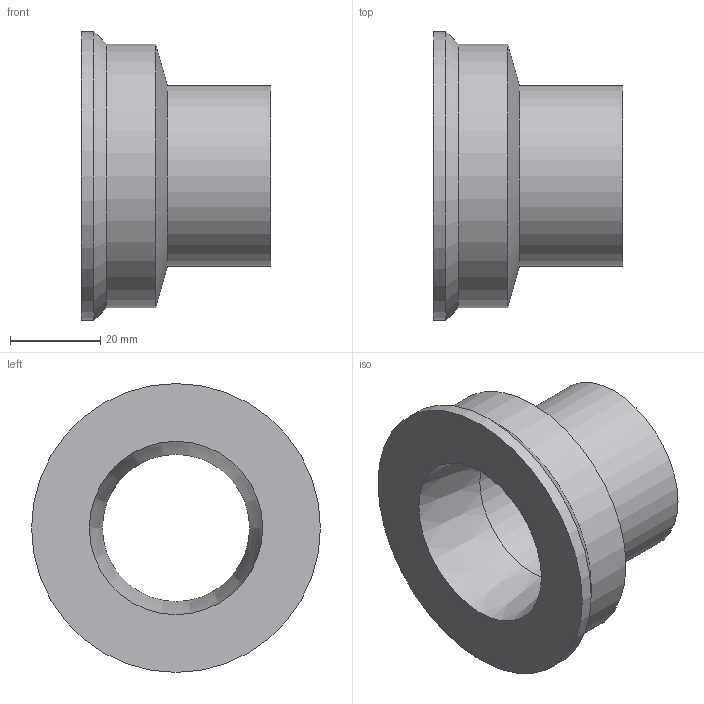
import cadquery as cq

total_length = 42.0

flange_diameter = 64.0
flange_rim_length = 2.8

body_diameter = 58.4
body_end_x = 16.5

spigot_diameter = 40.0
spigot_start_x = 19.1

bore_diameter = 32.6
mouth_diameter = 38.4
mouth_taper_length = 16.2

flange_slope = (flange_diameter - body_diameter) / 2
flange_end_x = flange_rim_length + flange_slope


def make_outer_body():
    """Flange, body, shoulder cone and spigot, revolved about X."""
    profile = (
        cq.Workplane("XY")
        .moveTo(0, 0)
        .lineTo(0, flange_diameter / 2)
        .lineTo(flange_rim_length, flange_diameter / 2)
        .lineTo(flange_end_x, body_diameter / 2)
        .lineTo(body_end_x, body_diameter / 2)
        .lineTo(spigot_start_x, spigot_diameter / 2)
        .lineTo(total_length, spigot_diameter / 2)
        .lineTo(total_length, 0)
        .close()
    )
    return profile.revolve(360, (0, 0, 0), (1, 0, 0))


def make_bore():
    """Through bore with a tapered mouth on the flange face."""
    profile = (
        cq.Workplane("XY")
        .moveTo(0, 0)
        .lineTo(0, mouth_diameter / 2)
        .lineTo(mouth_taper_length, bore_diameter / 2)
        .lineTo(total_length, bore_diameter / 2)
        .lineTo(total_length, 0)
        .close()
    )
    return profile.revolve(360, (0, 0, 0), (1, 0, 0))


result = make_outer_body().cut(make_bore())